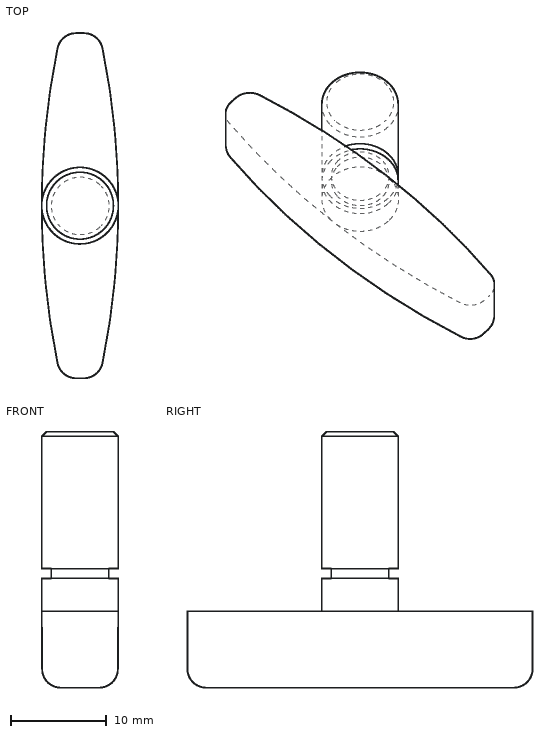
import cadquery as cq

bar_length = 36.0
bar_width = 8.0
bar_end_width = 4.05
bar_height = 8.0
corner_radius = 2.0
bottom_fillet = 1.98

stem_diameter = 8.0
collar_height = 3.42
groove_diameter = 6.0
groove_height = 1.0
overall_height = 26.7
tip_chamfer = 0.5


def make_bar():
    half_length = bar_length / 2
    half_width = bar_width / 2
    half_end = bar_end_width / 2
    bar = (
        cq.Workplane("XY")
        .moveTo(-half_end, -half_length)
        .lineTo(half_end, -half_length)
        .threePointArc((half_width, 0), (half_end, half_length))
        .lineTo(-half_end, half_length)
        .threePointArc((-half_width, 0), (-half_end, -half_length))
        .close()
        .extrude(bar_height)
    )
    return bar.edges("|Z").fillet(corner_radius).faces("<Z").edges().fillet(bottom_fillet)


def make_stem():
    groove_bottom = bar_height + collar_height
    groove_top = groove_bottom + groove_height
    core_bottom = bar_height / 2

    def cylinder(diameter, bottom, top):
        return cq.Workplane("XY").workplane(offset=bottom).circle(diameter / 2).extrude(top - bottom)

    collar = cylinder(stem_diameter, bar_height, groove_bottom)
    neck = cylinder(groove_diameter, core_bottom, groove_top)
    shank = cylinder(stem_diameter, groove_top, overall_height).faces(">Z").chamfer(tip_chamfer)
    return collar.union(neck).union(shank)


result = make_bar().union(make_stem())